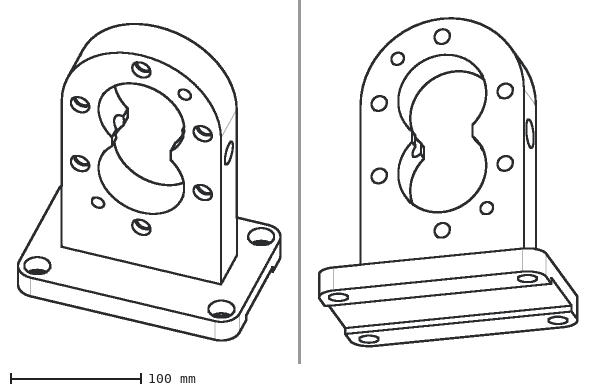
import cadquery as cq
import math

total_height = 233.0
base_length = 180.0
base_width = 120.0
base_thickness = 19.0
base_corner_radius = 15.0
plate_width = 130.0
plate_thickness = 35.9

channel_width = 59.9
channel_depth = 5.0

bore_diameter = 70.0
bore_spacing = 59.9
throat_width = 48.0
throat_height = 18.6

bolt_circle_radius = 50.0
bolt_diameter = 12.0
bolt_mouth_diameter = 15.0
bolt_mouth_depth = 7.0
dowel_diameter = 10.0
dowel_angle = 45.0

port_diameter = 18.0
port_mouth_diameter = 22.0
port_mouth_depth = 23.3

mount_inset = 15.0
mount_diameter = 15.0
mount_mouth_diameter = 20.0
mount_mouth_depth = 12.8

arch_radius = plate_width / 2
upper_bore_z = total_height - arch_radius
lower_bore_z = upper_bore_z - bore_spacing
chamber_center_z = (upper_bore_z + lower_bore_z) / 2


def cylinder_along_y(x, z, diameter, front_y, length):
    """Cylinder parallel to Y that starts at front_y and runs toward +Y."""
    return cq.Workplane(
        cq.Plane((x, front_y, z), xDir=(-1, 0, 0), normal=(0, 1, 0))
    ).circle(diameter / 2).extrude(length)


def cylinder_through_plate(x, z, diameter):
    return cylinder_along_y(x, z, diameter, -plate_thickness / 2, plate_thickness)


def make_base():
    base = (
        cq.Workplane("XY")
        .box(base_length, base_width, base_thickness, centered=(True, True, False))
        .edges("|Z")
        .fillet(base_corner_radius)
    )
    channel = cq.Workplane("XY").box(
        base_length, channel_width, channel_depth, centered=(True, True, False)
    )
    base = base.cut(channel)
    return (
        base.faces(">Z")
        .workplane(origin=(0, 0, base_thickness))
        .rect(base_length - 2 * mount_inset, base_width - 2 * mount_inset, forConstruction=True)
        .vertices()
        .cboreHole(mount_diameter, mount_mouth_diameter, mount_mouth_depth)
    )


def make_plate():
    wall_height = upper_bore_z - base_thickness
    wall = (
        cq.Workplane("XY")
        .workplane(offset=base_thickness)
        .box(plate_width, plate_thickness, wall_height, centered=(True, True, False))
    )
    return wall.union(cylinder_through_plate(0, upper_bore_z, plate_width))


def make_chamber():
    throat = cq.Workplane("XY").box(throat_width, plate_thickness, throat_height)
    return (
        cylinder_through_plate(0, upper_bore_z, bore_diameter)
        .union(cylinder_through_plate(0, lower_bore_z, bore_diameter))
        .union(throat.translate((0, 0, chamber_center_z)))
    )


def make_bolt_hole(x, z):
    mouth = cylinder_along_y(x, z, bolt_mouth_diameter, -plate_thickness / 2, bolt_mouth_depth)
    return cylinder_through_plate(x, z, bolt_diameter).union(mouth)


def make_port():
    side = cq.Workplane("YZ", origin=(-plate_width / 2, 0, chamber_center_z))
    mouth = side.circle(port_mouth_diameter / 2).extrude(port_mouth_depth)
    return side.circle(port_diameter / 2).extrude(plate_width).union(mouth)


result = make_base().union(make_plate()).cut(make_chamber()).cut(make_port())

for bore_z, outward in ((upper_bore_z, 1), (lower_bore_z, -1)):
    result = result.cut(make_bolt_hole(-bolt_circle_radius, bore_z))
    result = result.cut(make_bolt_hole(bolt_circle_radius, bore_z))
    result = result.cut(make_bolt_hole(0, bore_z + outward * bolt_circle_radius))

    dowel_x = outward * bolt_circle_radius * math.cos(math.radians(dowel_angle))
    dowel_z = bore_z + outward * bolt_circle_radius * math.sin(math.radians(dowel_angle))
    result = result.cut(cylinder_through_plate(dowel_x, dowel_z, dowel_diameter))